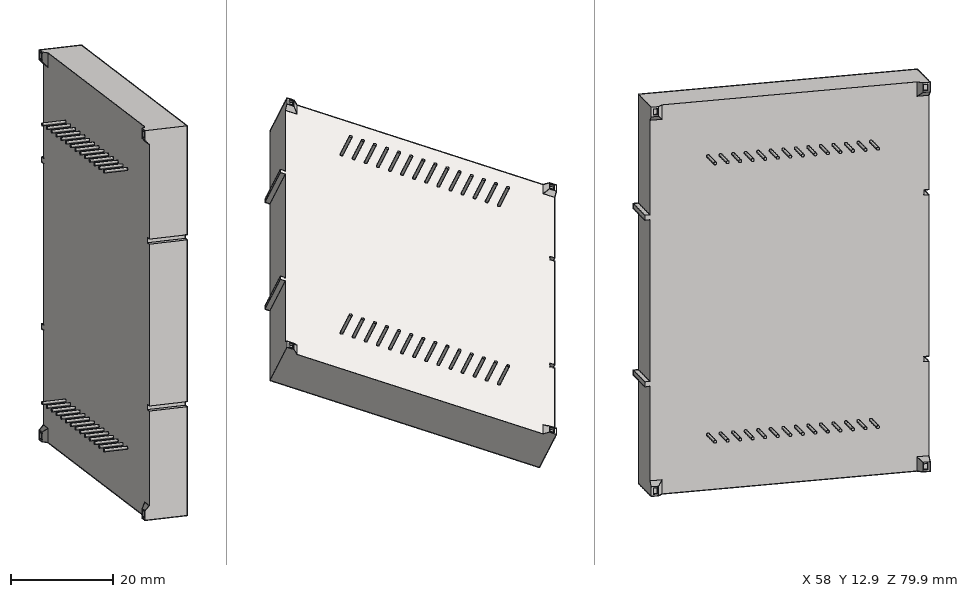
import cadquery as cq

BODY_WIDTH = 57.0
BODY_HEIGHT = 79.9
BODY_DEPTH = 8.0

RIB_PROJECTION = 1.0
RIB_HEIGHT = 1.0
RIB_SPACING = 34.2

FOOT_HEIGHT = 0.9
FOOT_PAD_WIDTH = 1.5
FOOT_PAD_LENGTH = 2.0
FOOT_SLOPE = 0.95

POCKET_WIDTH = 0.9
POCKET_LENGTH = 1.3
POCKET_DEPTH = 0.5
POCKET_SIDE_MARGIN = 0.5
POCKET_END_MARGIN = 0.4

PIN_COUNT = 14
PIN_PITCH = 2.55
PIN_ROW_SPACING = 57.1
PIN_DIAMETER = 0.6
PIN_LENGTH = 4.9

HALF_WIDTH = BODY_WIDTH / 2
HALF_HEIGHT = BODY_HEIGHT / 2
REAR_Y = -BODY_DEPTH


def make_body():
    return cq.Workplane("XY").box(BODY_WIDTH, BODY_DEPTH, BODY_HEIGHT).translate((0, REAR_Y / 2, 0))


def side_bars(inner_x):
    """Two full-depth bars extending toward +X from inner_x."""
    return (
        cq.Workplane("XZ")
        .pushPoints([(inner_x + RIB_PROJECTION / 2, side * RIB_SPACING / 2) for side in (-1, 1)])
        .rect(RIB_PROJECTION, RIB_HEIGHT)
        .extrude(BODY_DEPTH)
    )


def make_foot():
    """Foot with its pocket at the +X, +Z corner of the rear face."""
    base_width = FOOT_PAD_WIDTH + FOOT_SLOPE
    base_length = FOOT_PAD_LENGTH + FOOT_SLOPE
    foot = (
        cq.Workplane("XZ", origin=(HALF_WIDTH, REAR_Y, HALF_HEIGHT))
        .center(-base_width / 2, -base_length / 2)
        .rect(base_width, base_length)
        .workplane(offset=FOOT_HEIGHT)
        .center(FOOT_SLOPE / 2, FOOT_SLOPE / 2)
        .rect(FOOT_PAD_WIDTH, FOOT_PAD_LENGTH)
        .loft(ruled=True)
    )
    pocket = (
        cq.Workplane("XZ", origin=(HALF_WIDTH, REAR_Y - FOOT_HEIGHT, HALF_HEIGHT))
        .center(-POCKET_SIDE_MARGIN - POCKET_WIDTH / 2, -POCKET_END_MARGIN - POCKET_LENGTH / 2)
        .rect(POCKET_WIDTH, POCKET_LENGTH)
        .extrude(-POCKET_DEPTH)
    )
    return foot.cut(pocket)


def make_pins():
    return (
        cq.Workplane("XZ", origin=(0, REAR_Y, 0))
        .rarray(PIN_PITCH, PIN_ROW_SPACING, PIN_COUNT, 2)
        .circle(PIN_DIAMETER / 2)
        .extrude(PIN_LENGTH)
    )


corner_foot = make_foot()
upper_feet = corner_foot.union(corner_foot.mirror("YZ"))
feet = upper_feet.union(upper_feet.mirror("XY"))

result = (
    make_body()
    .union(side_bars(-HALF_WIDTH - RIB_PROJECTION))
    .cut(side_bars(HALF_WIDTH - RIB_PROJECTION))
    .union(feet)
    .union(make_pins())
)